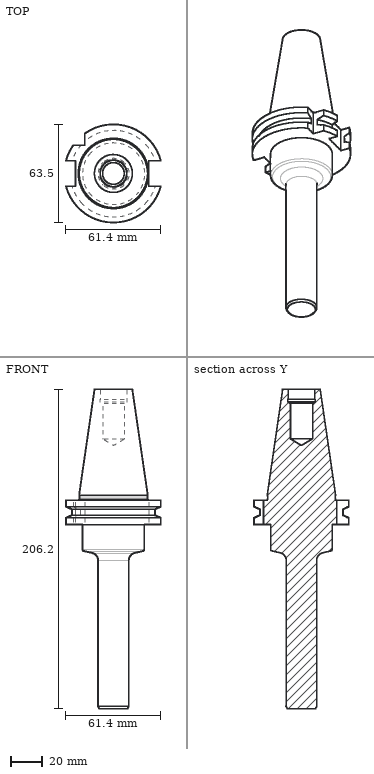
import cadquery as cq
import math

gauge_dia = 44.45
taper_length = 68.4
taper_ratio = 7 / 24
taper_top_dia = gauge_dia - taper_length * taper_ratio

neck_dia = 44.0
undercut_height = 0.9
neck_flare_dia = 45.4
neck_flare_height = 0.5

flange_dia = 63.5
flange_top_z = -3.2
flange_bottom_z = -19.1
groove_floor_dia = 56.1
groove_center_z = -11.05
groove_floor_width = 3.75
groove_mouth_width = 7.2

slot_width = 16.2
left_slot_floor_x = -24.6
right_slot_floor_x = 22.8
notch_x = -18.5
notch_y = 18.2

total_length = 206.25
body_dia = 40.0
body_bottom_z = -36.2
body_edge_radius = 1.2
shank_dia = 20.0
shank_fillet = 4.8
shoulder_angle = 13.0
shank_bottom_z = taper_length - total_length
shank_chamfer = 0.9
shank_chamfer_height = 1.5

pilot_dia = 17.01
pilot_depth = 6.6
relief_dia = 17.41
relief_depth = 8.2
countersink_angle = 120.0
thread_dia = 14.0
bore_depth = 32.0
drill_tip_angle = 118.0


def turned_body():
    """Revolve the half section of the whole holder."""
    flange_r = flange_dia / 2
    floor_r = groove_floor_dia / 2
    floor_half = groove_floor_width / 2
    mouth_half = groove_mouth_width / 2
    shank_r = shank_dia / 2
    body_r = body_dia / 2
    slope = math.radians(shoulder_angle)
    cone_start_r = body_r - body_edge_radius
    cone_end_r = shank_r + shank_fillet * (1 - math.sin(slope))
    cone_end_z = body_bottom_z - (cone_start_r - cone_end_r) * math.tan(slope)
    fillet_end_z = cone_end_z - shank_fillet * math.cos(slope)
    profile = (
        cq.Workplane("XZ")
        .moveTo(0, taper_length)
        .lineTo(taper_top_dia / 2, taper_length)
        .lineTo(gauge_dia / 2, 0)
        .lineTo(neck_dia / 2, -undercut_height)
        .lineTo(neck_dia / 2, flange_top_z + neck_flare_height)
        .lineTo(neck_flare_dia / 2, flange_top_z)
        .lineTo(flange_r, flange_top_z)
        .lineTo(flange_r, groove_center_z + mouth_half)
        .lineTo(floor_r, groove_center_z + floor_half)
        .lineTo(floor_r, groove_center_z - floor_half)
        .lineTo(flange_r, groove_center_z - mouth_half)
        .lineTo(flange_r, flange_bottom_z)
        .lineTo(body_r, flange_bottom_z)
        .lineTo(body_r, body_bottom_z + body_edge_radius)
        .radiusArc((cone_start_r, body_bottom_z), body_edge_radius)
        .lineTo(cone_end_r, cone_end_z)
        .radiusArc((shank_r, fillet_end_z), -shank_fillet)
        .lineTo(shank_r, shank_bottom_z + shank_chamfer_height)
        .lineTo(shank_r - shank_chamfer, shank_bottom_z)
        .lineTo(0, shank_bottom_z)
        .close()
    )
    return profile.revolve(360, (0, 0, 0), (0, 1, 0))


def flange_cutter(x_inner, y_min, y_max):
    """Box through the flange height, from x_inner outward past the rim."""
    x_outer = math.copysign(flange_dia, x_inner)
    height = flange_top_z - flange_bottom_z
    return (
        cq.Workplane("XY", origin=(0, 0, flange_bottom_z))
        .moveTo(x_inner, y_min)
        .lineTo(x_outer, y_min)
        .lineTo(x_outer, y_max)
        .lineTo(x_inner, y_max)
        .close()
        .extrude(height)
    )


def pull_stud_bore():
    """Stepped blind bore with a conical drill tip."""
    thread_r = thread_dia / 2
    tip_height = thread_r / math.tan(math.radians(drill_tip_angle / 2))
    pilot_bottom_z = taper_length - pilot_depth
    relief_r = relief_dia / 2
    relief_bottom_z = taper_length - relief_depth
    countersink_height = (relief_r - thread_r) / math.tan(math.radians(countersink_angle / 2))
    thread_bottom_z = taper_length - bore_depth
    profile = (
        cq.Workplane("XZ")
        .moveTo(0, taper_length)
        .lineTo(pilot_dia / 2, taper_length)
        .lineTo(pilot_dia / 2, pilot_bottom_z)
        .lineTo(relief_r, pilot_bottom_z)
        .lineTo(relief_r, relief_bottom_z)
        .lineTo(thread_r, relief_bottom_z - countersink_height)
        .lineTo(thread_r, thread_bottom_z)
        .lineTo(0, thread_bottom_z - tip_height)
        .close()
    )
    return profile.revolve(360, (0, 0, 0), (0, 1, 0))


result = turned_body()
for slot_floor_x in (left_slot_floor_x, right_slot_floor_x):
    result = result.cut(flange_cutter(slot_floor_x, -slot_width / 2, slot_width / 2))
result = result.cut(flange_cutter(notch_x, notch_y, flange_dia))
result = result.cut(pull_stud_bore())